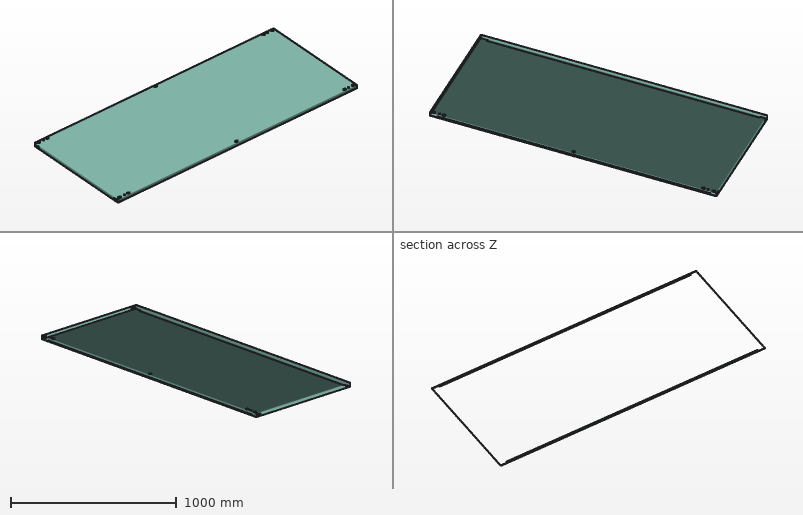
import cadquery as cq

length = 1888.0
width = 787.0
height = 26.0
sheet = 1.5

side_bend = 4.0
end_bend = 6.5
corner_radius = 5.0

lip_width = 15.0
lip_length = 1794.0

flange_slot_x = 362.0
flange_slot_length = 19.0
flange_slot_height = 11.0
flange_slot_z = -16.0

slit_x = 383.0
slit_width = 1.0

cutout_x = 380.0
cutout_width = 13.0
cutout_length = 19.0
corner_cutout_y = 921.0
inner_cutout_y = 853.0
cutout_places = [
    (x, y)
    for x in (-cutout_x, cutout_x)
    for y in (-corner_cutout_y, -inner_cutout_y, 0, inner_cutout_y, corner_cutout_y)
]

plug_diameter = 10.0
plug_x = 380.0
plug_y = 884.0
plug_places = [(x, y) for x in (-plug_x, plug_x) for y in (-plug_y, plug_y)]


def centred_box(size_x, size_y, top, bottom):
    """Box centred on the Z axis between two heights."""
    return cq.Workplane("XY").workplane(offset=bottom).rect(size_x, size_y).extrude(top - bottom)


def rounded_block(inset):
    """Block with rounded bends and corners, inset from the outside of the panel on every face."""
    block = centred_box(width - 2 * inset, length - 2 * inset, -inset, inset - height)
    bent_sides = block.edges("|Y").fillet(side_bend - inset)
    bent_ends = block.edges(">Z and |X").fillet(end_bend - inset)
    round_corners = block.edges("|Z").fillet(corner_radius - inset)
    return bent_sides.intersect(bent_ends).intersect(round_corners)


def make_tray():
    """Top sheet with rounded flanges bent down on all four sides and a lip under each long side."""
    floor_opening = centred_box(width - 2 * lip_width, length - 2 * sheet, -end_bend, -height)
    corner_openings = centred_box(width - 2 * corner_radius, length - 2 * sheet, -end_bend, -height).cut(
        centred_box(width, lip_length, 0, -height)
    )
    return rounded_block(0).cut(rounded_block(sheet)).cut(floor_opening).cut(corner_openings)


def make_corner_slits():
    """Narrow slits that part the end flanges from the rounded corners."""
    slits = centred_box(2 * slit_x + slit_width, length, 0, -height).cut(
        centred_box(2 * slit_x - slit_width, length, 0, -height)
    )
    return slits.cut(centred_box(width, length - 2 * end_bend, 0, -height))


def make_panel():
    flange_slots = (
        cq.Workplane("XZ")
        .pushPoints([(x, flange_slot_z) for x in (-flange_slot_x, flange_slot_x)])
        .slot2D(flange_slot_length, flange_slot_height)
        .extrude(length / 2, both=True)
    )
    cutouts = (
        cq.Workplane("XY").pushPoints(cutout_places).slot2D(cutout_length, cutout_width, 90).extrude(-sheet)
    )
    plug_holes = cq.Workplane("XY").pushPoints(plug_places).circle(plug_diameter / 2).extrude(-sheet)
    return make_tray().cut(make_corner_slits()).cut(flange_slots).cut(cutouts).cut(plug_holes)


def make_plug(x, y):
    return cq.Workplane("XY").center(x, y).circle(plug_diameter / 2).extrude(-sheet)


panel = make_panel()
plugs = [make_plug(x, y) for x, y in plug_places]

result = cq.Compound.makeCompound([panel.val(), *[plug.val() for plug in plugs]])